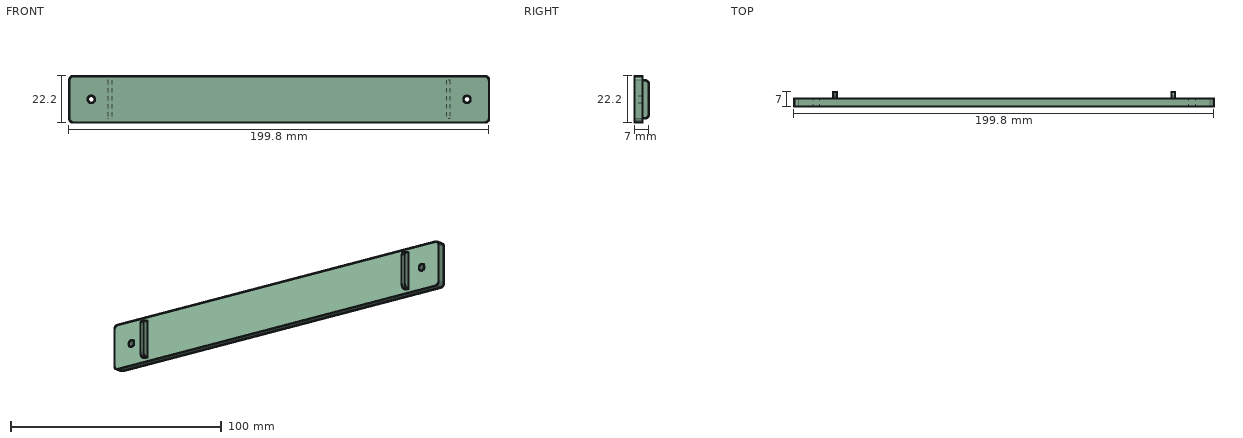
import cadquery as cq

length = 199.8
height = 22.2
plate_thickness = 4.0
corner_radius = 2.0

hole_diameter = 3.3
hole_spacing = 178.8

total_depth = 7.0
rib_depth = total_depth - plate_thickness
rib_width = 1.8
rib_height = 18.2
rib_spacing = 161.0
rib_corner_radius = 2.0


def make_plate():
    """Upright plate with its front face on Y = 0 and rounded corners."""
    plate = cq.Workplane("XY").box(length, plate_thickness, height, centered=(True, False, True))
    return plate.edges("|Y").fillet(corner_radius)


def make_rib(x):
    """Upright rib on the back face, with its two outer corners rounded."""
    rib = cq.Workplane("XY").box(rib_width, rib_depth, rib_height, centered=(True, False, True))
    rib = rib.faces(">Y").edges("|X").fillet(rib_corner_radius)
    return rib.translate((x, plate_thickness, 0))


def make_hole(x):
    """Cylinder that cuts one screw hole through the plate."""
    hole = cq.Solid.makeCylinder(
        hole_diameter / 2, plate_thickness, cq.Vector(x, 0, 0), cq.Vector(0, 1, 0)
    )
    return cq.Workplane(hole)


result = make_plate()
for side in (-1, 1):
    result = result.union(make_rib(side * rib_spacing / 2))
    result = result.cut(make_hole(side * hole_spacing / 2))